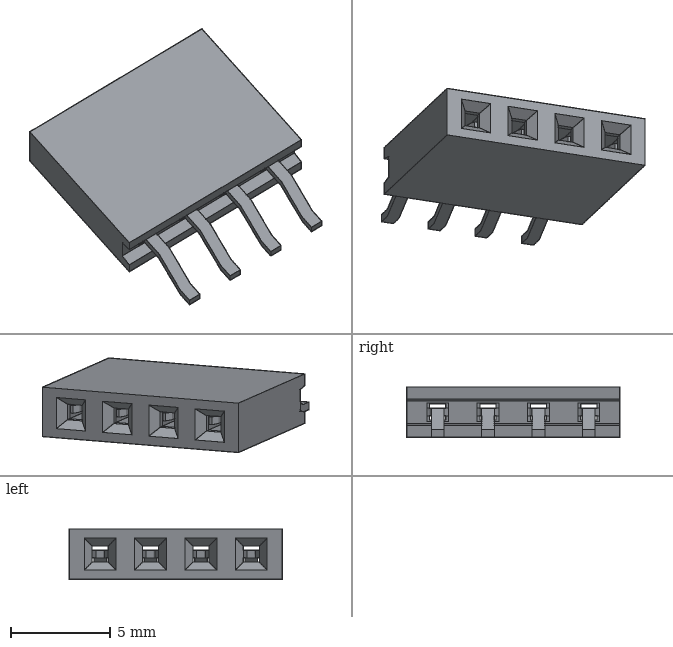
import cadquery as cq
import math

overall_length = 11.93
housing_length = 8.5
housing_width = 10.76
housing_height = 2.54
mid_height = housing_height / 2

contact_count = 4
pitch = 2.54

funnel_mouth = 1.6
throat_side = 0.8
funnel_depth = 0.49
throat_length = 0.3
cavity_width = 1.1
cavity_height = 0.93
cavity_start = funnel_depth + throat_length

notch_depth = 0.6
notch_floor_height = 1.13
notch_mouth_height = 1.34
notch_floor_x = housing_length - notch_depth

sheet_thickness = 0.39
lead_width = 0.65
fork_width = cavity_width
shoulder_radius = (fork_width - lead_width) / 2
lead_start = 8.09
tine_tip_x = 1.19
tine_bulge_length = 1.43
bulge_half_gap = 0.21
slot_half_width = 0.4

upper_bend_top_x = 9.37
upper_bend_bottom_x = 9.28
foot_bend_top_x = 11.13
foot_bend_bottom_x = 11.14
inner_bend_radius = 0.07
outer_bend_radius = 0.36


def make_housing():
    """Flat block with a row of funnel-mouthed sockets and a tapered notch along its back."""
    housing = cq.Workplane("XY").box(
        housing_length, housing_width, housing_height, centered=(False, True, False)
    )
    housing = housing.cut(make_back_notch())
    for y in contact_positions():
        housing = housing.cut(make_socket().translate((0, y, 0)))
    return housing


def make_back_notch():
    """Groove along Y whose upper and lower walls open towards the back."""
    return (
        cq.Workplane("XZ")
        .moveTo(notch_floor_x, mid_height - notch_floor_height / 2)
        .lineTo(housing_length, mid_height - notch_mouth_height / 2)
        .lineTo(housing_length, mid_height + notch_mouth_height / 2)
        .lineTo(notch_floor_x, mid_height + notch_floor_height / 2)
        .close()
        .extrude(housing_width / 2, both=True)
    )


def make_socket():
    """Square funnel, square throat and a roomier cavity that runs out into the notch."""
    funnel = (
        cq.Workplane("YZ", origin=(0, 0, mid_height))
        .rect(funnel_mouth, funnel_mouth)
        .workplane(offset=funnel_depth)
        .rect(throat_side, throat_side)
        .loft(ruled=True)
    )
    throat = (
        cq.Workplane("YZ", origin=(funnel_depth, 0, mid_height))
        .rect(throat_side, throat_side)
        .extrude(throat_length)
    )
    cavity = (
        cq.Workplane("YZ", origin=(cavity_start, 0, mid_height))
        .rect(cavity_width, cavity_height)
        .extrude(notch_floor_x - cavity_start)
    )
    return funnel.union(throat).union(cavity)


def make_contact():
    """Tuning-fork contact with a bent solder lead."""
    return make_fork().union(make_lead())


def make_fork():
    """Flat fork between the cavity walls, with concave shoulders down to the lead width."""
    half_fork = fork_width / 2
    half_lead = lead_width / 2
    shoulder_x = lead_start - shoulder_radius
    shoulder_shift = shoulder_radius * (1 - math.sqrt(0.5))
    slot_x = tine_tip_x + tine_bulge_length
    bulge_x = tine_tip_x + tine_bulge_length / 2
    return (
        cq.Workplane("XY", origin=(0, 0, mid_height))
        .moveTo(tine_tip_x, half_fork)
        .lineTo(shoulder_x, half_fork)
        .threePointArc(
            (shoulder_x + shoulder_shift, half_lead + shoulder_shift), (lead_start, half_lead)
        )
        .lineTo(lead_start, -half_lead)
        .threePointArc(
            (shoulder_x + shoulder_shift, -half_lead - shoulder_shift), (shoulder_x, -half_fork)
        )
        .lineTo(tine_tip_x, -half_fork)
        .lineTo(tine_tip_x, -slot_half_width)
        .threePointArc((bulge_x, -bulge_half_gap), (slot_x, -slot_half_width))
        .threePointArc((slot_x + slot_half_width, 0), (slot_x, slot_half_width))
        .threePointArc((bulge_x, bulge_half_gap), (tine_tip_x, slot_half_width))
        .close()
        .extrude(sheet_thickness / 2, both=True)
    )


def make_lead():
    """Strip that leaves the fork, slopes down and ends in a level foot."""
    lead_top = mid_height + sheet_thickness / 2
    lead_bottom = mid_height - sheet_thickness / 2
    lead = (
        cq.Workplane("XZ")
        .moveTo(lead_start, lead_bottom)
        .lineTo(upper_bend_bottom_x, lead_bottom)
        .lineTo(foot_bend_bottom_x, 0)
        .lineTo(overall_length, 0)
        .lineTo(overall_length, sheet_thickness)
        .lineTo(foot_bend_top_x, sheet_thickness)
        .lineTo(upper_bend_top_x, lead_top)
        .lineTo(lead_start, lead_top)
        .close()
        .extrude(lead_width / 2, both=True)
    )
    outside_corners = ((upper_bend_top_x, lead_top), (foot_bend_bottom_x, 0))
    inside_corners = (
        (upper_bend_bottom_x, lead_bottom),
        (foot_bend_top_x, sheet_thickness),
    )
    lead = round_corners(lead, outside_corners, outer_bend_radius)
    return round_corners(lead, inside_corners, inner_bend_radius)


def round_corners(strip, corners, radius):
    """Fillet the edges along Y that pass through the given X, Z corners."""
    for x, z in corners:
        strip = strip.edges(cq.selectors.NearestToPointSelector((x, 0, z))).fillet(radius)
    return strip


def contact_positions():
    """Y positions of the contacts, centred on the housing."""
    return [(i - (contact_count - 1) / 2) * pitch for i in range(contact_count)]


housing = make_housing()
contacts = [make_contact().translate((0, y, 0)) for y in contact_positions()]

result = cq.Compound.makeCompound([housing.val(), *[contact.val() for contact in contacts]])